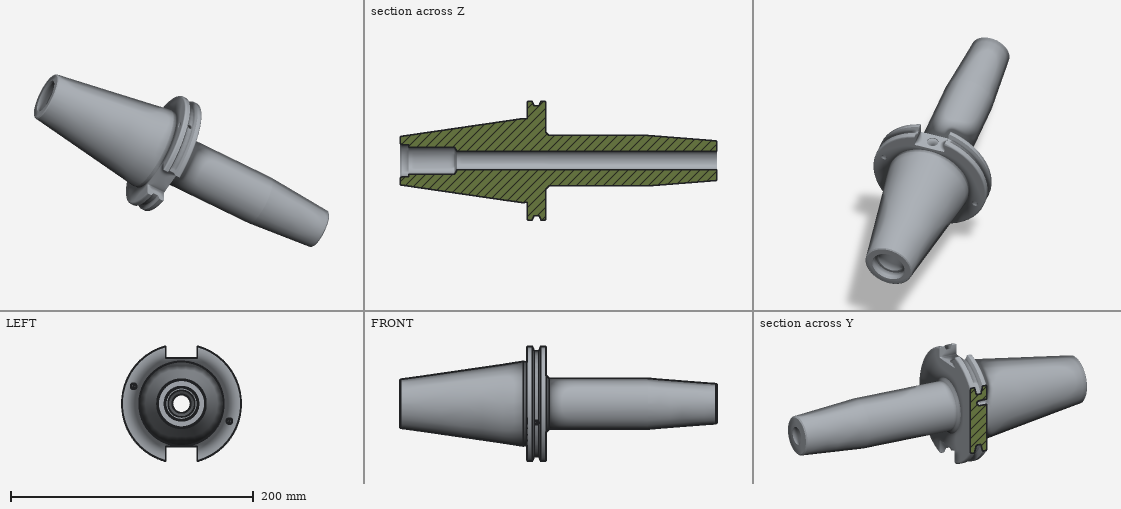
import cadquery as cq
import math


gauge_diameter = 69.85
taper_length = 101.6
taper_rate = 7 / 24
taper_end_diameter = gauge_diameter - taper_length * taper_rate
taper_end_chamfer = 0.8

collar_diameter = 69.25
collar_start = 1.6

flange_start = 3.175
flange_width = 15.875
flange_end = flange_start + flange_width
flange_middle = flange_start + flange_width / 2
flange_diameter = 98.425
flange_edge_fillet = 1.4
groove_floor_width = 4.0
groove_rim_width = 7.3
groove_depth = 3.6
groove_floor_radius = flange_diameter / 2 - groove_depth

neck_diameter = 42.0
neck_chamfer = 2.5
nose_tip = 160.0
nose_tip_diameter = 33.0
nose_half_angle = 4.5
nose_length = (neck_diameter - nose_tip_diameter) / 2 / math.tan(math.radians(nose_half_angle))
nose_start = nose_tip - nose_length
nose_edge = 1.0

counterbore_diameter = 26.2
counterbore_depth = 7.0
counterbore_chamfer_width = 1.0
counterbore_chamfer_length = 2.0
thread_bore_diameter = 21.97
thread_bore_depth = 45.0
through_bore_diameter = 14.92

slot_width = 25.9
slot_rim_chamfer = 0.6
slot_floor_fillet = 0.8
upper_slot_floor = 37.7
lower_slot_floor = 35.3
dimple_diameter = 9.53
dimple_wall_depth = 0.8

coolant_angle = 20
coolant_radius = 42.0
coolant_mouth_diameter = 5.0
coolant_hole_diameter = 4.13
coolant_mouth_chamfer = (coolant_mouth_diameter - coolant_hole_diameter) / 2
outlet_diameter = 3.24
outlet_mouth_diameter = 4.2
outlet_mouth_chamfer = (outlet_mouth_diameter - outlet_diameter) / 2

drill_half_angle = 59

cut_margin = 5.0


def revolve_about_x(profile):
    """Turn a closed (X, radius) profile into a solid of revolution about the X axis."""
    return profile.close().revolve(360, (0, 0, 0), (1, 0, 0))


def make_body():
    """Taper, collar, grooved flange, neck and nose as one turned solid."""
    flange_radius = flange_diameter / 2
    neck_radius = neck_diameter / 2
    tip_radius = nose_tip_diameter / 2
    chamfer_drop = taper_end_chamfer * taper_rate / 2
    nose_drop = nose_edge * math.tan(math.radians(nose_half_angle))
    profile = (
        cq.Workplane("XY")
        .moveTo(-taper_length, 0)
        .lineTo(-taper_length, taper_end_diameter / 2 - taper_end_chamfer)
        .lineTo(-taper_length + taper_end_chamfer, taper_end_diameter / 2 + chamfer_drop)
        .lineTo(0, gauge_diameter / 2)
        .lineTo(collar_start, collar_diameter / 2)
        .lineTo(flange_start, collar_diameter / 2)
        .lineTo(flange_start, flange_radius - flange_edge_fillet)
        .radiusArc((flange_start + flange_edge_fillet, flange_radius), flange_edge_fillet)
        .lineTo(flange_middle - groove_rim_width / 2, flange_radius)
        .lineTo(flange_middle - groove_floor_width / 2, groove_floor_radius)
        .lineTo(flange_middle + groove_floor_width / 2, groove_floor_radius)
        .lineTo(flange_middle + groove_rim_width / 2, flange_radius)
        .lineTo(flange_end - flange_edge_fillet, flange_radius)
        .radiusArc((flange_end, flange_radius - flange_edge_fillet), flange_edge_fillet)
        .lineTo(flange_end, neck_radius + neck_chamfer)
        .lineTo(flange_end + neck_chamfer, neck_radius)
        .lineTo(nose_start, neck_radius)
        .lineTo(nose_tip - nose_edge, tip_radius + nose_drop)
        .lineTo(nose_tip, tip_radius - nose_edge)
        .lineTo(nose_tip, 0)
    )
    return revolve_about_x(profile)


def make_bore():
    """Stepped bore, entering at the small end of the taper and running through the nose."""
    counterbore_radius = counterbore_diameter / 2
    thread_radius = thread_bore_diameter / 2
    through_radius = through_bore_diameter / 2
    mouth = -taper_length
    cone_length = (thread_radius - through_radius) / math.tan(math.radians(drill_half_angle))
    profile = (
        cq.Workplane("XY")
        .moveTo(mouth, 0)
        .lineTo(mouth, counterbore_radius + counterbore_chamfer_width)
        .lineTo(mouth + counterbore_chamfer_length, counterbore_radius)
        .lineTo(mouth + counterbore_depth, counterbore_radius)
        .lineTo(mouth + counterbore_depth, thread_radius)
        .lineTo(mouth + thread_bore_depth, thread_radius)
        .lineTo(mouth + thread_bore_depth + cone_length, through_radius)
        .lineTo(nose_tip, through_radius)
        .lineTo(nose_tip, 0)
    )
    return revolve_about_x(profile)


def make_drive_slot(floor_height):
    """Slot along X with rounded floor corners and chamfered rim edges, open outward above floor_height."""
    half_width = slot_width / 2
    rim_height = math.sqrt((flange_diameter / 2) ** 2 - half_width ** 2)
    flare_start = rim_height - slot_rim_chamfer
    flare_top = flare_start + cut_margin
    half_flare = half_width + cut_margin
    fillet_top = floor_height + slot_floor_fillet
    half_floor = half_width - slot_floor_fillet
    return (
        cq.Workplane("YZ", origin=(flange_start, 0, 0))
        .moveTo(-half_floor, floor_height)
        .lineTo(half_floor, floor_height)
        .radiusArc((half_width, fillet_top), -slot_floor_fillet)
        .lineTo(half_width, flare_start)
        .lineTo(half_flare, flare_top)
        .lineTo(-half_flare, flare_top)
        .lineTo(-half_width, flare_start)
        .lineTo(-half_width, fillet_top)
        .radiusArc((-half_floor, floor_height), -slot_floor_fillet)
        .close()
        .extrude(flange_width)
    )


def make_dimple(floor_height):
    """Shallow round hole with a conical bottom, sunk into the floor of a drive slot."""
    radius = dimple_diameter / 2
    cone_depth = radius / math.tan(math.radians(drill_half_angle))
    inward = cq.Vector(0, 0, -1)
    wall = cq.Solid.makeCylinder(
        radius, dimple_wall_depth, cq.Vector(flange_middle, 0, floor_height), inward)
    cone = cq.Solid.makeCone(
        radius, 0, cone_depth, cq.Vector(flange_middle, 0, floor_height - dimple_wall_depth), inward)
    return cq.Workplane(wall).union(cq.Workplane(cone))


def make_coolant_hole():
    """Axial hole from the flange face, meeting a radial outlet in the groove floor (along +Y)."""
    along_x = cq.Vector(1, 0, 0)
    along_y = cq.Vector(0, 1, 0)
    face_point = cq.Vector(flange_start, coolant_radius, 0)
    meeting_point = cq.Vector(flange_middle, coolant_radius, 0)
    outlet_neck_radius = groove_floor_radius - outlet_mouth_chamfer
    outlet_neck_point = cq.Vector(flange_middle, outlet_neck_radius, 0)
    hole_radius = coolant_hole_diameter / 2
    outlet_radius = outlet_diameter / 2
    tip_length = hole_radius / math.tan(math.radians(drill_half_angle))

    axial = cq.Solid.makeCylinder(hole_radius, flange_width / 2, face_point, along_x)
    mouth = cq.Solid.makeCone(
        coolant_mouth_diameter / 2, hole_radius, coolant_mouth_chamfer, face_point, along_x)
    tip = cq.Solid.makeCone(hole_radius, 0, tip_length, meeting_point, along_x)
    outlet = cq.Solid.makeCylinder(
        outlet_radius, flange_diameter / 2 - coolant_radius, meeting_point, along_y)
    outlet_mouth = cq.Solid.makeCone(
        outlet_radius, outlet_mouth_diameter / 2, outlet_mouth_chamfer, outlet_neck_point, along_y)

    hole = cq.Workplane(axial)
    for piece in (mouth, tip, outlet, outlet_mouth):
        hole = hole.union(cq.Workplane(piece))
    return hole


result = make_body().cut(make_bore())

upper_slot = make_drive_slot(upper_slot_floor)
lower_slot = make_drive_slot(lower_slot_floor).rotate((0, 0, 0), (1, 0, 0), 180)
result = result.cut(upper_slot).cut(lower_slot).cut(make_dimple(upper_slot_floor))

for half_turn in (0, 180):
    angle = coolant_angle + half_turn
    result = result.cut(make_coolant_hole().rotate((0, 0, 0), (1, 0, 0), angle))